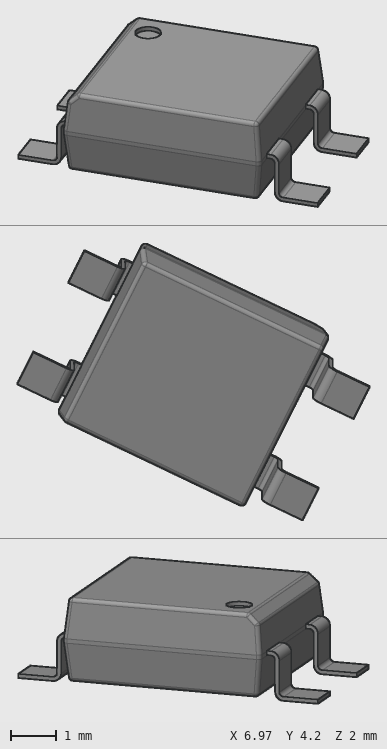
import cadquery as cq
import math

overall_length = 6.97
overall_height = 2.0
sheet_thickness = 0.1

housing_length = 4.6
housing_width = 4.2
housing_bottom = 0.11
band_top = 1.1
band_bottom = band_top - sheet_thickness
draft_angle = 6.0
edge_radius = 0.1
pin_one_chamfer = 0.22

dimple_diameter = 0.57
dimple_depth = 0.1
dimple_x = -1.53
dimple_y = 1.33

lead_width = 0.8
lead_pitch = 2.545
lead_outer_face = 2.585
inner_bend_radius = 0.1
outer_bend_radius = inner_bend_radius + sheet_thickness

select_tolerance = 0.001


def drafted_half(base_z, height):
    """Half of the housing, narrowing from the parting band; a negative height points down."""
    return (
        cq.Workplane("XY")
        .workplane(offset=base_z)
        .rect(housing_length, housing_width)
        .extrude(height, taper=draft_angle)
    )


def is_band_edge(edge):
    """True for the horizontal edges above and below the parting band, which stay sharp."""
    box = edge.BoundingBox()
    is_level = box.zlen < select_tolerance
    return is_level and any(abs(box.zmin - z) < select_tolerance for z in (band_bottom, band_top))


def make_housing():
    """Drafted block with a straight parting band, a chamfered pin-one edge and a dimple."""
    band = (
        cq.Workplane("XY")
        .workplane(offset=band_bottom)
        .rect(housing_length, housing_width)
        .extrude(sheet_thickness)
    )
    upper_half = drafted_half(band_top, overall_height - band_top)
    lower_half = drafted_half(band_bottom, housing_bottom - band_bottom)
    block = band.union(upper_half).union(lower_half)
    block = block.faces(">Z").edges("<X").chamfer(pin_one_chamfer)
    rounded_edges = [edge for edge in block.edges().vals() if not is_band_edge(edge)]
    block = block.newObject(rounded_edges).fillet(edge_radius)
    dimple = (
        cq.Workplane("XY")
        .workplane(offset=overall_height - dimple_depth)
        .center(dimple_x, dimple_y)
        .circle(dimple_diameter / 2)
        .extrude(dimple_depth)
    )
    return block.cut(dimple)


def bend_midpoint(center_x, center_z, radius, side):
    """Middle of a quarter bend that faces +X +Z (side = 1) or -X -Z (side = -1)."""
    reach = side * radius * math.sqrt(0.5)
    return center_x + reach, center_z + reach


def make_lead():
    """One lead on the +X side, centred on Y = 0: shoulder at the parting band, leg and foot."""
    wall = housing_length / 2
    toe = overall_length / 2
    inner_face = lead_outer_face - sheet_thickness
    shoulder_end = lead_outer_face - outer_bend_radius
    foot_start = inner_face + outer_bend_radius
    upper_bend_z = band_top - outer_bend_radius
    lower_bend_z = outer_bend_radius
    profile = (
        cq.Workplane("XZ")
        .moveTo(wall, band_top)
        .lineTo(shoulder_end, band_top)
        .threePointArc(
            bend_midpoint(shoulder_end, upper_bend_z, outer_bend_radius, 1),
            (lead_outer_face, upper_bend_z),
        )
        .lineTo(lead_outer_face, lower_bend_z)
        .threePointArc(
            bend_midpoint(foot_start, lower_bend_z, inner_bend_radius, -1),
            (foot_start, sheet_thickness),
        )
        .lineTo(toe, sheet_thickness)
        .lineTo(toe, 0)
        .lineTo(foot_start, 0)
        .threePointArc(
            bend_midpoint(foot_start, lower_bend_z, outer_bend_radius, -1),
            (inner_face, lower_bend_z),
        )
        .lineTo(inner_face, upper_bend_z)
        .threePointArc(
            bend_midpoint(shoulder_end, upper_bend_z, inner_bend_radius, 1),
            (shoulder_end, band_bottom),
        )
        .lineTo(wall, band_bottom)
        .close()
    )
    return profile.extrude(lead_width / 2, both=True)


housing = make_housing()

leads = []
for turn in (0, 180):
    for lead_y in (-lead_pitch / 2, lead_pitch / 2):
        lead = make_lead().translate((0, lead_y, 0)).rotate((0, 0, 0), (0, 0, 1), turn)
        leads.append(lead.val())

result = cq.Compound.makeCompound([housing.val(), *leads])